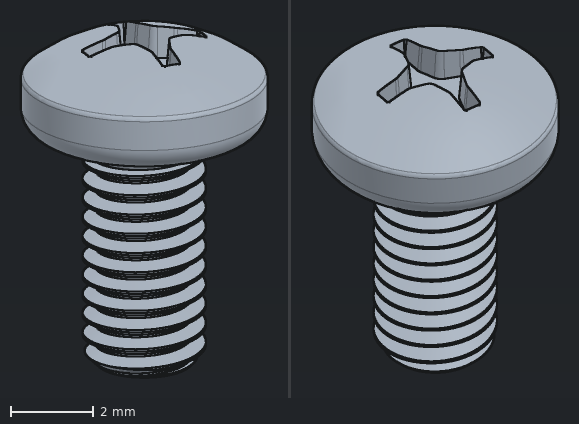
import cadquery as cq
import math

SHANK_LENGTH = 6.0
MAJOR_RADIUS = 1.5
PITCH = 0.5
FLANK_ANGLE = 30.0
CREST_WIDTH = PITCH / 8
THREAD_DEPTH = 3 / 4 * PITCH * math.cos(math.radians(FLANK_ANGLE))
ROOT_RADIUS = MAJOR_RADIUS - THREAD_DEPTH
CREST_HEIGHT_AT_X = 3 / 4 * PITCH
ROOT_OVERLAP = 0.05
HEAD_OVERLAP = 0.3

NECK_HEIGHT = 0.62
NECK_TOP_RADIUS = 1.55
NECK_BOTTOM_RADIUS = 1.31

HEAD_RADIUS = 3.0
HEAD_HEIGHT = 2.5
DOME_RADIUS = 4.7
UNDERSIDE_FILLET = 0.6
RIM_FILLET = 0.15

RECESS_DEPTH = 0.85
RECESS_DRAFT = 5.0
ARM_COUNT = 4
ARM_LENGTH = 1.53
ARM_HALF_WIDTH = 0.187
SHOULDER_DISTANCE = 0.95
CORNER_OFFSET = 0.395
CORNER_FILLET = 0.3


def revolve_outline(points):
    """Turn a closed (radius, height) outline about the Z axis."""
    return cq.Workplane("XZ").polyline(points).close().revolve(360, (0, 0), (0, 1))


def make_head():
    """Domed disc with a rounded underside and a softened rim."""
    top = SHANK_LENGTH + HEAD_HEIGHT
    dome_centre = top - DOME_RADIUS
    rim_height = dome_centre + math.sqrt(DOME_RADIUS**2 - HEAD_RADIUS**2)
    half_angle = math.asin(HEAD_RADIUS / DOME_RADIUS) / 2
    dome_mid = (DOME_RADIUS * math.sin(half_angle), dome_centre + DOME_RADIUS * math.cos(half_angle))
    head = (
        cq.Workplane("XZ")
        .moveTo(0, SHANK_LENGTH)
        .lineTo(HEAD_RADIUS, SHANK_LENGTH)
        .lineTo(HEAD_RADIUS, rim_height)
        .threePointArc(dome_mid, (0, top))
        .close()
        .revolve(360, (0, 0), (0, 1))
    )
    head = head.faces("<Z").edges().fillet(UNDERSIDE_FILLET)
    return head.faces("%CYLINDER").edges(">Z").fillet(RIM_FILLET)


def make_neck():
    """Cone that widens from the shank to the underside of the head."""
    bottom = SHANK_LENGTH - NECK_HEIGHT
    return revolve_outline([
        (0, bottom),
        (NECK_BOTTOM_RADIUS, bottom),
        (NECK_TOP_RADIUS, SHANK_LENGTH),
        (0, SHANK_LENGTH),
    ])


def make_thread():
    """Threaded core, trimmed to a blank with a 45 degree chamfer at the tip."""
    top = SHANK_LENGTH + HEAD_OVERLAP
    overrun = 2 * PITCH
    start = CREST_HEIGHT_AT_X - overrun
    turns = math.ceil((top - start) / PITCH)
    helix = cq.Wire.makeHelix(PITCH, turns * PITCH, ROOT_RADIUS, cq.Vector(0, 0, start))
    base_radius = ROOT_RADIUS - ROOT_OVERLAP
    base_depth = MAJOR_RADIUS - base_radius
    half_crest = CREST_WIDTH / 2
    half_base = half_crest + base_depth * math.tan(math.radians(FLANK_ANGLE))
    ridge = (
        cq.Workplane("XZ")
        .polyline([
            (base_radius, start - half_base),
            (MAJOR_RADIUS, start - half_crest),
            (MAJOR_RADIUS, start + half_crest),
            (base_radius, start + half_base),
        ])
        .close()
        .sweep(cq.Workplane(obj=helix), isFrenet=True)
    )
    core = (
        cq.Workplane("XY", origin=(0, 0, -overrun))
        .circle(ROOT_RADIUS)
        .extrude(top + 2 * overrun)
    )
    blank_radius = MAJOR_RADIUS + PITCH
    blank = revolve_outline([
        (0, 0),
        (ROOT_RADIUS, 0),
        (blank_radius, blank_radius - ROOT_RADIUS),
        (blank_radius, top),
        (0, top),
    ])
    return core.union(ridge).intersect(blank)


def make_recess():
    """Cross of four arms with rounded corners between them, widening upwards."""
    quarter = [
        (ARM_LENGTH, -ARM_HALF_WIDTH),
        (ARM_LENGTH, ARM_HALF_WIDTH),
        (SHOULDER_DISTANCE, ARM_HALF_WIDTH),
        (CORNER_OFFSET, CORNER_OFFSET),
        (ARM_HALF_WIDTH, SHOULDER_DISTANCE),
    ]
    points = []
    for _ in range(ARM_COUNT):
        points += quarter
        quarter = [(-y, x) for x, y in quarter]
    points.append(points[0])
    inner_half = (SHOULDER_DISTANCE + ARM_LENGTH) / 2
    inside_arm_ends = cq.selectors.BoxSelector(
        (-inner_half, -inner_half, -inner_half),
        (inner_half, inner_half, inner_half),
    )
    outline = cq.Sketch().polygon(points).vertices(inside_arm_ends).fillet(CORNER_FILLET).reset()
    floor = SHANK_LENGTH + HEAD_HEIGHT - RECESS_DEPTH
    return (
        cq.Workplane("XY", origin=(0, 0, floor))
        .placeSketch(outline)
        .extrude(RECESS_DEPTH, taper=-RECESS_DRAFT)
    )


result = make_head().union(make_neck()).union(make_thread()).cut(make_recess())